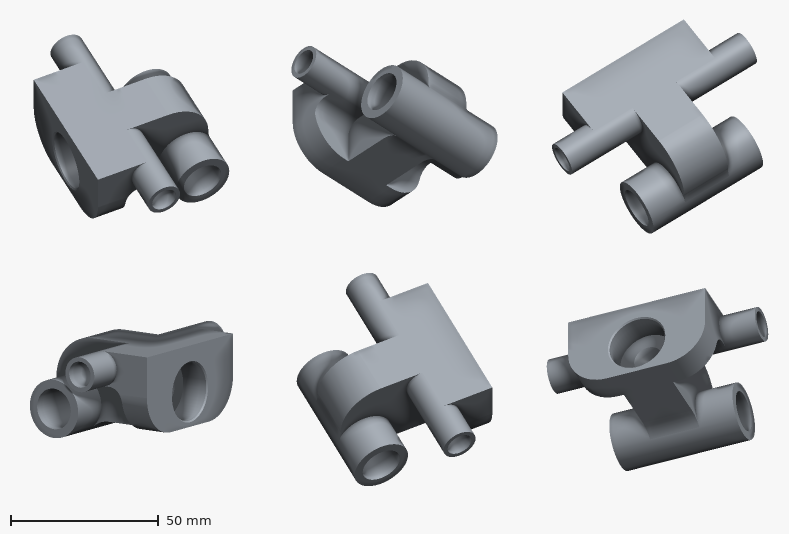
import cadquery as cq
import math

small_tube_length = 76.0
small_tube_radius = 6.0
small_bore_radius = 4.5
small_tube_y = 18.55
small_tube_z = -small_tube_radius
large_tube_length = 45.0
large_tube_radius = 10.0
large_bore_radius = 7.0
overall_depth = 50.5
overall_height = 33.0
large_tube_y = overall_depth - large_tube_radius
large_tube_z = large_tube_radius - overall_height

flange_width = 50.0
flange_height = 28.05
flange_thickness = 10.6
flange_corner_radius = 14.0
step_fillet_radius = 5.0

rib_width = 18.0
rib_round_radius = 15.0
rib_back_y = 49.1
blend_radius = large_tube_radius

recess_z = -15.95
recess_radius = 10.0
recess_depth = 10.0
recess_chamfer = 0.45
drill_point_radius = 5.0
drill_point_angle = 118.0

DIAGONAL = math.sqrt(0.5)


def x_cylinder(length, radius, y, z):
    """Cylinder along X, centred on X = 0."""
    return cq.Workplane("YZ", origin=(-length / 2, 0, 0)).center(y, z).circle(radius).extrude(length)


def make_flange():
    """Thin plate, thickened at the top to reach the small tube, with rounded lower corners."""
    step_z = -2 * small_tube_radius
    arc_y = flange_thickness + step_fillet_radius
    arc_z = step_z - step_fillet_radius
    arc_middle = (arc_y - step_fillet_radius * DIAGONAL, arc_z + step_fillet_radius * DIAGONAL)
    return (
        cq.Workplane("YZ", origin=(-flange_width / 2, 0, 0))
        .lineTo(0, -flange_height)
        .lineTo(flange_thickness, -flange_height)
        .lineTo(flange_thickness, arc_z)
        .threePointArc(arc_middle, (arc_y, step_z))
        .lineTo(small_tube_y, step_z)
        .lineTo(small_tube_y, 0)
        .close()
        .extrude(flange_width)
        .edges("|Y and <Z")
        .edges("<X or >X")
        .fillet(flange_corner_radius)
    )


def make_rib():
    """Central web whose underside and back blend tangentially into the large tube."""
    center_distance = large_tube_radius + blend_radius

    lower_z = -flange_height - blend_radius
    lower_angle = math.acos((large_tube_z - lower_z) / center_distance)
    lower_y = large_tube_y - center_distance * math.sin(lower_angle)

    back_y = rib_back_y + blend_radius
    back_angle = math.acos((back_y - large_tube_y) / center_distance)
    back_z = large_tube_z + center_distance * math.sin(back_angle)

    def lower_point(angle):
        return (lower_y + blend_radius * math.sin(angle), lower_z + blend_radius * math.cos(angle))

    def back_point(angle):
        return (back_y - blend_radius * math.cos(angle), back_z - blend_radius * math.sin(angle))

    round_y = rib_back_y - rib_round_radius
    round_middle = (
        round_y + rib_round_radius * DIAGONAL,
        -rib_round_radius + rib_round_radius * DIAGONAL,
    )
    return (
        cq.Workplane("YZ", origin=(-rib_width / 2, 0, 0))
        .lineTo(0, -flange_height)
        .lineTo(*lower_point(0))
        .threePointArc(lower_point(lower_angle / 2), lower_point(lower_angle))
        .lineTo(large_tube_y, large_tube_z)
        .lineTo(*back_point(back_angle))
        .threePointArc(back_point(back_angle / 2), back_point(0))
        .lineTo(rib_back_y, -rib_round_radius)
        .threePointArc(round_middle, (round_y, 0))
        .close()
        .extrude(rib_width)
    )


def make_recess():
    """Revolved cutter: chamfered mouth, flat floor and a conical drill point."""
    point_depth = drill_point_radius / math.tan(math.radians(drill_point_angle / 2))
    return (
        cq.Workplane("XY", origin=(0, 0, recess_z))
        .lineTo(recess_radius + recess_chamfer, 0)
        .lineTo(recess_radius, recess_chamfer)
        .lineTo(recess_radius, recess_depth)
        .lineTo(drill_point_radius, recess_depth)
        .lineTo(0, recess_depth + point_depth)
        .close()
        .revolve(360, (0, 0, 0), (0, 1, 0))
    )


small_tube = x_cylinder(small_tube_length, small_tube_radius, small_tube_y, small_tube_z)
small_bore = x_cylinder(small_tube_length, small_bore_radius, small_tube_y, small_tube_z)
large_tube = x_cylinder(large_tube_length, large_tube_radius, large_tube_y, large_tube_z)
large_bore = x_cylinder(large_tube_length, large_bore_radius, large_tube_y, large_tube_z)

body = make_flange().union(make_rib()).union(small_tube).union(large_tube)
result = body.cut(small_bore).cut(large_bore).cut(make_recess())